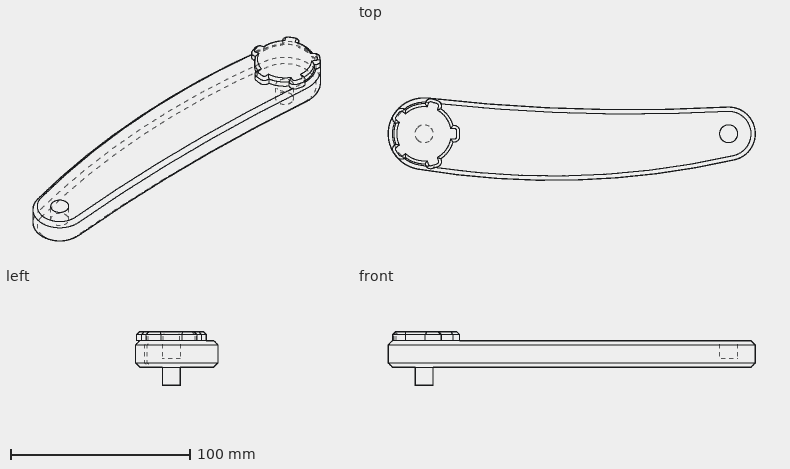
import cadquery as cq
import math

overall_length = 205.0
large_end_radius = 20.0
small_end_radius = 15.0
pivot_spacing = overall_length - large_end_radius - small_end_radius
bulging_side_radius = 455.0
hollow_side_radius = 984.0
arm_thickness = 15.0
arm_chamfer = 2.5

pin_diameter = 10.0
pin_length = 10.0
hole_depth = pin_length

knob_radius = 16.8
knob_height = 5.0
knob_chamfer = 1.6
lobe_count = 5
lobe_reach = 19.9
lobe_width = 9.2
lobe_corner_radius = 3.0


def side_arc_center(large_distance, small_distance):
    """Point at the given distances from both pivots, on the +Y side."""
    x = (large_distance**2 - small_distance**2 + pivot_spacing**2) / (2 * pivot_spacing)
    return x, math.sqrt(large_distance**2 - x**2)


def point_toward(start, target, distance):
    """Point on the line from start through target, at a signed distance from start."""
    dx = target[0] - start[0]
    dy = target[1] - start[1]
    length = math.hypot(dx, dy)
    return start[0] + dx / length * distance, start[1] + dy / length * distance


def make_arm():
    large_pivot = (0, 0)
    small_pivot = (pivot_spacing, 0)

    bulge_center = side_arc_center(
        bulging_side_radius - large_end_radius, bulging_side_radius - small_end_radius
    )
    hollow_center = side_arc_center(
        hollow_side_radius + large_end_radius, hollow_side_radius + small_end_radius
    )

    bulge_start = point_toward(large_pivot, bulge_center, -large_end_radius)
    bulge_middle = (bulge_center[0], bulge_center[1] - bulging_side_radius)
    bulge_end = point_toward(small_pivot, bulge_center, -small_end_radius)
    hollow_start = point_toward(small_pivot, hollow_center, small_end_radius)
    hollow_middle = (hollow_center[0], hollow_center[1] - hollow_side_radius)
    hollow_end = point_toward(large_pivot, hollow_center, large_end_radius)

    return (
        cq.Workplane("XY")
        .moveTo(*bulge_start)
        .threePointArc(bulge_middle, bulge_end)
        .threePointArc((pivot_spacing + small_end_radius, 0), hollow_start)
        .threePointArc(hollow_middle, hollow_end)
        .threePointArc((-large_end_radius, 0), bulge_start)
        .close()
        .extrude(arm_thickness)
        .faces("<Z or >Z")
        .chamfer(arm_chamfer)
    )


def make_lobe():
    """Lobe along +X, reaching from the knob center to its rounded tip."""
    bar = (
        cq.Workplane("XY")
        .rect(2 * lobe_reach, lobe_width)
        .extrude(knob_height)
        .edges("|Z")
        .fillet(lobe_corner_radius)
        .faces(">Z")
        .chamfer(knob_chamfer)
    )
    outer_half = (
        cq.Workplane("XY")
        .center(lobe_reach / 2, 0)
        .rect(lobe_reach, lobe_width)
        .extrude(knob_height)
    )
    return bar.intersect(outer_half)


def make_knob():
    knob = cq.Workplane("XY").circle(knob_radius).extrude(knob_height)
    knob = knob.faces(">Z").chamfer(knob_chamfer)
    lobe = make_lobe()
    for index in range(lobe_count):
        knob = knob.union(lobe.rotate((0, 0, 0), (0, 0, 1), index * 360 / lobe_count))
    return knob.translate((0, 0, arm_thickness))


pin = cq.Workplane("XY").circle(pin_diameter / 2).extrude(-pin_length)
hole = (
    cq.Workplane("XY", origin=(pivot_spacing, 0, arm_thickness))
    .circle(pin_diameter / 2)
    .extrude(-hole_depth)
)

result = make_arm().cut(hole).union(make_knob()).union(pin)